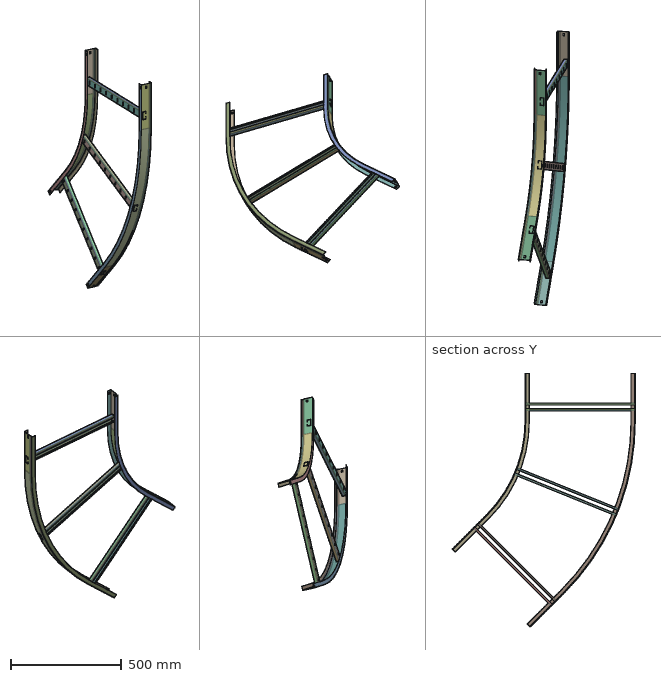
import cadquery as cq
import math

bend_angle = 45.0
inner_bend_radius = 600.0
ladder_width = 500.0
outer_bend_radius = inner_bend_radius + ladder_width
leg_length = 217.9

rail_depth = 55.0
rail_flange = 20.0
rail_sheet = 1.5
rail_corner_radius = 3.5
groove_depth = 2.5
groove_floor_start = 7.0
groove_floor_end = 11.0
groove_end = 13.2
groove_bend_radius = 2.0
rail_front = -rail_depth / 2
rail_back = rail_depth / 2

end_hole_width = 7.0
end_hole_length = 10.0
end_hole_inset = 16.0
web_hole_y = -1.5

rung_height = 38.0
rung_front = -20.0
rung_back = -1.5
rung_sheet = 1.5
rung_corner_radius = 3.0
rung_lip = 11.0
rung_inset = 152.0
rung_offset = leg_length - rung_inset
middle_rung_angle = 22.0

slot_count = 10
slot_pitch = 49.5
slot_row_shift = -2.0
slot_width = 7.0
slot_length = 17.0


def turned(shape, angle):
    """Rotate about the bend axis, from the upper leg towards the lower one."""
    return shape.rotate((0, 0, 0), (0, 1, 0), angle)


def rail_section(web_radius, inward):
    """Sheet section across the rail; inward is +1 or -1, the side the flanges point to."""

    def at(depth, from_back):
        return (web_radius + inward * depth, rail_back - from_back)

    def groove_face(depth):
        """Corner points of the web face at this depth, from the back flange to the groove end."""
        return [
            at(depth, rail_corner_radius),
            at(depth + groove_depth, groove_floor_start),
            at(depth + groove_depth, groove_floor_end),
            at(depth, groove_end),
        ]

    sheet = rail_sheet
    inner_radius = rail_corner_radius - sheet
    outer_mid = rail_corner_radius * (1 - math.sqrt(0.5))
    inner_mid = sheet + inner_radius * (1 - math.sqrt(0.5))
    slab = (
        cq.Workplane("XY")
        .moveTo(*at(rail_flange, 0))
        .lineTo(*at(rail_corner_radius, 0))
        .threePointArc(at(outer_mid, outer_mid), at(0, rail_corner_radius))
        .polyline(groove_face(0)[1:], includeCurrent=True)
        .lineTo(*at(0, rail_depth))
        .lineTo(*at(rail_flange, rail_depth))
        .lineTo(*at(rail_flange, rail_depth - sheet))
        .lineTo(*at(sheet, rail_depth - sheet))
        .polyline(groove_face(sheet)[::-1], includeCurrent=True)
        .threePointArc(at(inner_mid, inner_mid), at(rail_corner_radius, sheet))
        .lineTo(*at(rail_flange, sheet))
        .close()
        .extrude(1)
    )
    for depth in (0, sheet):
        for bend_x, bend_y in groove_face(depth)[1:]:
            bend_edge = cq.selectors.NearestToPointSelector((bend_x, bend_y, 0.5))
            slab = slab.edges("|Z").edges(bend_edge).fillet(groove_bend_radius)
    outline = slab.faces("<Z").wires().val()
    return cq.Workplane("XY").newObject([outline]).toPending()


def end_holes(web_radius, inward, z):
    """Cutters for the web hole and the front flange hole at height z."""
    through = 4 * rail_sheet
    web_hole = cq.Workplane("XY").box(through, end_hole_width, end_hole_length)
    flange_hole = cq.Workplane("XY").box(end_hole_width, through, end_hole_length)
    flange_middle = web_radius + inward * rail_flange / 2
    return web_hole.translate((web_radius, web_hole_y, z)).union(
        flange_hole.translate((flange_middle, rail_front, z))
    )


def make_rail(web_radius, inward):
    """Upper leg, bend and lower leg of one side rail."""
    hole_z = leg_length - end_hole_inset
    upper_leg = rail_section(web_radius, inward).extrude(leg_length)
    upper_leg = upper_leg.cut(end_holes(web_radius, inward, hole_z))
    lower_leg = rail_section(web_radius, inward).extrude(-leg_length)
    lower_leg = lower_leg.cut(end_holes(web_radius, inward, -hole_z))
    bend = rail_section(web_radius, inward).revolve(bend_angle, (0, 0), (0, 1))
    return upper_leg.union(bend).union(turned(lower_leg, bend_angle))


def make_rung(z, angle):
    """Rung reaching through both rail webs, at height z of a leg turned by the angle."""
    depth = rung_back - rung_front
    middle_x = (inner_bend_radius + outer_bend_radius) / 2
    middle_y = (rung_front + rung_back) / 2
    rung = (
        cq.Workplane("XY")
        .box(ladder_width, depth, rung_height)
        .edges("|X")
        .fillet(rung_corner_radius)
    )
    hollow = (
        cq.Workplane("XY")
        .box(ladder_width, depth - 2 * rung_sheet, rung_height - 2 * rung_sheet)
        .edges("|X")
        .fillet(rung_corner_radius - rung_sheet)
    )
    opening = cq.Workplane("XY").box(ladder_width, depth, rung_height - 2 * rung_lip)
    slots = (
        cq.Workplane("XZ")
        .center(slot_row_shift, 0)
        .rarray(slot_pitch, 1, slot_count, 1)
        .slot2D(slot_length, slot_width, 90)
        .extrude(depth)
    )
    rung = rung.cut(hollow).cut(opening.translate((0, depth / 2, 0))).cut(slots)
    rung = rung.translate((middle_x, middle_y, z))
    return turned(rung, angle)


rungs = [
    make_rung(rung_offset, 0),
    make_rung(0, middle_rung_angle),
    make_rung(-rung_offset, bend_angle),
]

inner_rail = make_rail(inner_bend_radius, 1)
outer_rail = make_rail(outer_bend_radius, -1)
for rung in rungs:
    inner_rail = inner_rail.cut(rung)
    outer_rail = outer_rail.cut(rung)

result = cq.Compound.makeCompound(
    [inner_rail.val(), outer_rail.val()] + [rung.val() for rung in rungs]
)